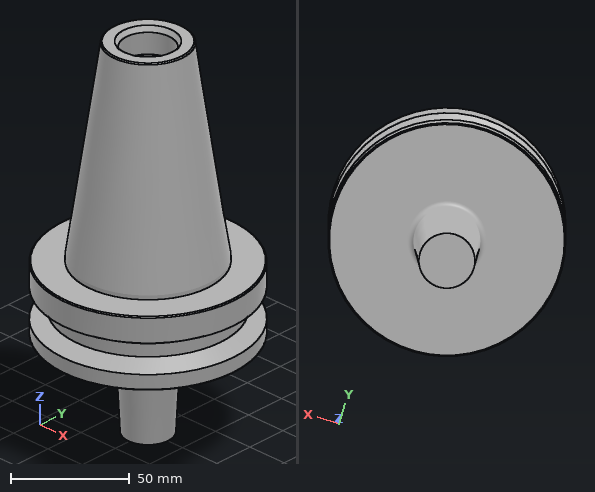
import cadquery as cq
import math

taper_base_radius = 35.0
taper_length = 102.7
taper_slope = 7 / 48
taper_top_chamfer = 0.5
collar_height = 2.0

flange_diameter = 100.0
flange_radius = flange_diameter / 2
flange_edge_chamfer = 0.5
upper_rim_height = 12.5
lower_rim_height = 7.7
groove_floor_radius = 42.4
groove_floor_height = 6.4
groove_flank_angle = math.radians(30)

total_height = 186.8
nose_tip_radius = 11.8
nose_root_radius = 14.0
nose_root_fillet = 2.6

bore_mouth_radius = 14.0
bore_mouth_depth = 2.6
counterbore_radius = 12.5
counterbore_depth = 13
thread_radius = 12.0
thread_depth = 44.8
drill_radius = 10.5
thread_end_angle = math.radians(30)
drill_depth = 61.6
drill_point_angle = math.radians(118)

flank_height = (flange_radius - groove_floor_radius) * math.tan(groove_flank_angle)
flange_height = upper_rim_height + lower_rim_height + groove_floor_height + 2 * flank_height
flange_top = total_height - taper_length - collar_height
flange_bottom = flange_top - flange_height
taper_base = total_height - taper_length
taper_top_radius = taper_base_radius - taper_length * taper_slope


def revolve_profile(points):
    """Turn a closed (radius, height) outline about the Z axis."""
    return cq.Workplane("XZ").polyline(points).close().revolve(360, (0, 0, 0), (0, 1, 0))


def make_shank():
    chamfer_base_radius = taper_top_radius + taper_top_chamfer * taper_slope
    return revolve_profile([
        (0, flange_top),
        (taper_base_radius, flange_top),
        (taper_base_radius, taper_base),
        (chamfer_base_radius, total_height - taper_top_chamfer),
        (taper_top_radius - taper_top_chamfer, total_height),
        (0, total_height),
    ])


def make_flange():
    groove_bottom = flange_bottom + lower_rim_height
    groove_top = flange_top - upper_rim_height
    face_radius = flange_radius - flange_edge_chamfer
    return revolve_profile([
        (0, flange_bottom),
        (face_radius, flange_bottom),
        (flange_radius, flange_bottom + flange_edge_chamfer),
        (flange_radius, groove_bottom),
        (groove_floor_radius, groove_bottom + flank_height),
        (groove_floor_radius, groove_top - flank_height),
        (flange_radius, groove_top),
        (flange_radius, flange_top - flange_edge_chamfer),
        (face_radius, flange_top),
        (0, flange_top),
    ])


def make_nose():
    fillet_start = flange_bottom - nose_root_fillet
    arc_middle = (
        nose_root_radius + nose_root_fillet * (1 - math.sqrt(0.5)),
        fillet_start + nose_root_fillet * math.sqrt(0.5),
    )
    return (
        cq.Workplane("XZ")
        .lineTo(nose_tip_radius, 0)
        .lineTo(nose_root_radius, fillet_start)
        .threePointArc(arc_middle, (nose_root_radius + nose_root_fillet, flange_bottom))
        .lineTo(0, flange_bottom)
        .close()
        .revolve(360, (0, 0, 0), (0, 1, 0))
    )


def make_bore():
    counterbore_floor = total_height - counterbore_depth
    thread_bottom = total_height - thread_depth
    thread_end_height = (thread_radius - drill_radius) / math.tan(thread_end_angle)
    drill_end = total_height - drill_depth
    point_height = drill_radius / math.tan(drill_point_angle / 2)
    return revolve_profile([
        (0, total_height),
        (bore_mouth_radius, total_height),
        (counterbore_radius, total_height - bore_mouth_depth),
        (counterbore_radius, counterbore_floor),
        (thread_radius, counterbore_floor),
        (thread_radius, thread_bottom),
        (drill_radius, thread_bottom - thread_end_height),
        (drill_radius, drill_end),
        (0, drill_end - point_height),
    ])


result = make_shank().union(make_flange()).union(make_nose()).cut(make_bore())